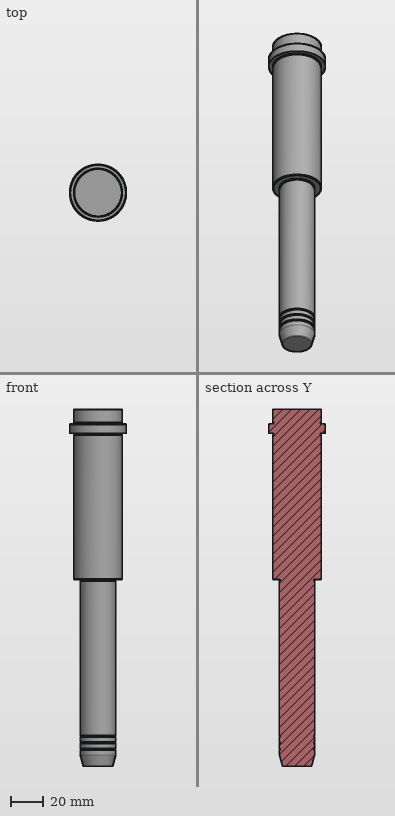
import cadquery as cq
import math

total_length = 220.0

body_radius = 15.0
body_length = 105.0
body_end_chamfer = 0.5
collar_radius = 17.5
collar_top_depth = 9.0
collar_height = 6.0
collar_chamfer = 0.5

shank_radius = 11.0
tip_length = 7.0
tip_angle = 15.0
tip_fillet = 0.5

groove_width = 1.0
groove_depth = 0.5
ring_groove_count = 3
ring_groove_pitch = 4.0

tip_radius = shank_radius - tip_length * math.tan(math.radians(tip_angle))
body_bottom = total_length - body_length
collar_top = total_length - collar_top_depth
collar_bottom = collar_top - collar_height


def revolve_outline(outline):
    """Revolve a closed outline, drawn on the -X side of the XZ plane, about the Z axis."""
    return outline.close().revolve(360, (0, 0, 0), (0, 1, 0))


def cylinder(radius, bottom, top):
    """Cylinder on the Z axis between two heights."""
    return revolve_outline(
        cq.Workplane("XZ")
        .moveTo(0, bottom)
        .lineTo(-radius, bottom)
        .lineTo(-radius, top)
        .lineTo(0, top)
    )


def v_groove(radius, bottom):
    """Ring with a triangular section that cuts a V groove into a round surface."""
    return revolve_outline(
        cq.Workplane("XZ")
        .moveTo(-radius, bottom)
        .lineTo(-(radius - groove_depth), bottom + groove_width / 2)
        .lineTo(-radius, bottom + groove_width)
    )


def make_shank():
    """Shank with a rounded conical tip, ring grooves and a relief below the body."""
    shank = revolve_outline(
        cq.Workplane("XZ")
        .lineTo(-tip_radius, 0)
        .lineTo(-shank_radius, tip_length)
        .lineTo(-shank_radius, body_bottom)
        .lineTo(0, body_bottom)
    )
    shank = shank.faces("<Z").edges().fillet(tip_fillet)
    for index in range(1, ring_groove_count + 1):
        groove_top = tip_length + index * ring_groove_pitch
        shank = shank.cut(v_groove(shank_radius, groove_top - groove_width))
    return shank.cut(v_groove(shank_radius, body_bottom - groove_width))


def make_body():
    """Body with both ends chamfered and a relief on each side of the collar."""
    body = cylinder(body_radius, body_bottom, total_length)
    body = body.faces("<Z or >Z").chamfer(body_end_chamfer)
    for relief_bottom in (collar_top, collar_bottom - groove_width):
        body = body.cut(v_groove(body_radius, relief_bottom))
    return body


def make_collar():
    """Collar with its upper outer edge chamfered."""
    collar = cylinder(collar_radius, collar_bottom, collar_top)
    return collar.faces(">Z").chamfer(collar_chamfer)


result = make_shank().union(make_body()).union(make_collar())